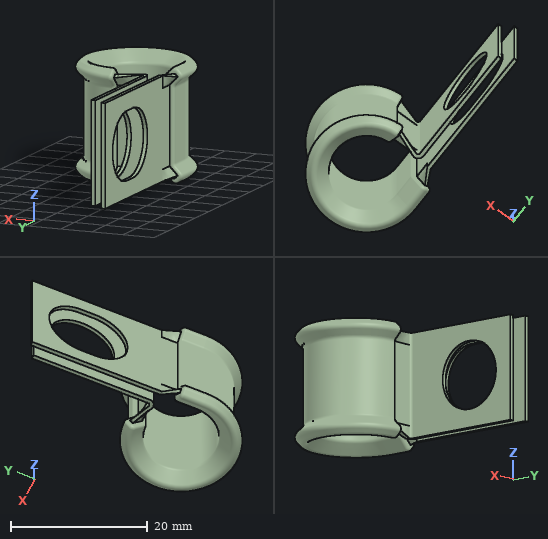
import cadquery as cq
import math


cushion_radius = 9.015
cushion_half_height = 8.77
bore_radius = 5.55
wall = 2.22
rim_rounding = 0.75
end_rounding = 0.5
straight_length = 3.84
ring_sweep = 270

strip_thickness = 0.65
strip_half_width = 7.95
fold_half_width = 6.1
fold_angle = 45
long_tab_fold_length = 2.52
bend_radius = 0.38

long_tab_end = 27.355
short_tab_end = 26.2
short_tab_outer_x = -4.9
hole_y = 18.27
hole_diameter = 10.3
slot_width = 10.5
slot_length = 12.7

DIAGONAL = math.sqrt(0.5)

barrel_radius = bore_radius + wall
strip_inner = bore_radius + (wall - strip_thickness) / 2
strip_outer = strip_inner + strip_thickness
bend_outer_radius = bend_radius + strip_thickness
bend_x = short_tab_outer_x + bend_outer_radius
bend_y = strip_inner + bend_outer_radius


def symmetric_outline(upper):
    """Complete a list of (radius, z) points with its mirror image below z = 0."""
    return upper + [(r, -z) for r, z in reversed(upper)]


def cushion_section():
    """Cross-section at +X: a wall of even thickness with rims flared outward at 45 degrees."""
    tip_centre_gap = (wall - 2 * rim_rounding) * DIAGONAL
    outer_tip_r = cushion_radius - rim_rounding + rim_rounding / DIAGONAL
    outer_tip_z = cushion_half_height - rim_rounding - tip_centre_gap
    inner_tip_r = outer_tip_r - wall * DIAGONAL
    inner_tip_z = outer_tip_z + wall * DIAGONAL
    outline = symmetric_outline([
        (barrel_radius, outer_tip_z - (outer_tip_r - barrel_radius)),
        (outer_tip_r, outer_tip_z),
        (inner_tip_r, inner_tip_z),
        (bore_radius, inner_tip_z - (inner_tip_r - bore_radius)),
    ])
    return cq.Sketch().polygon(outline + outline[:1]).vertices().fillet(rim_rounding)


def make_cushion():
    section = cq.Workplane("XZ").placeSketch(cushion_section())
    ring = section.revolve(ring_sweep, (0, 0), (0, 1))
    ring = ring.faces("|X").edges().fillet(end_rounding)
    straight = section.extrude(straight_length)
    straight = straight.faces("<Y").edges().fillet(end_rounding)
    return ring.union(straight).rotate((0, 0, 0), (0, 0, 1), 180)


def strip_outline(angle):
    """Strip cross-section with its edges folded outward by the given angle in degrees."""
    edge_length = strip_half_width - fold_half_width
    sine = math.sin(math.radians(angle))
    cosine = math.cos(math.radians(angle))
    edge_r = strip_outer + edge_length * sine
    edge_z = fold_half_width + edge_length * cosine
    inner_fold_z = fold_half_width + strip_thickness * math.tan(math.radians(fold_angle / 2))
    return symmetric_outline([
        (strip_outer, fold_half_width),
        (edge_r, edge_z),
        (edge_r - strip_thickness * cosine, edge_z + strip_thickness * sine),
        (strip_inner, inner_fold_z),
    ])


def strip_exit(length):
    """Strip leaving the section at +X toward +Y, its edges unfolding from flared to flat."""
    flared = strip_outline(fold_angle)
    flat = strip_outline(0)
    unfolding = (
        cq.Workplane("XZ").polyline(flared).close()
        .workplane(offset=-length).polyline(flat).close()
        .loft(ruled=True)
    )
    root = cq.Workplane("XZ").polyline(flared).close().extrude(end_rounding)
    return unfolding.union(root)


def make_long_tab():
    fold_end = straight_length + long_tab_fold_length
    tab = cq.Workplane("XY").box(
        strip_thickness, long_tab_end - fold_end, 2 * strip_half_width, centered=(False, False, True)
    ).translate((-strip_outer, fold_end, 0))
    slot = (
        cq.Workplane("YZ").center(hole_y, 0)
        .slot2D(slot_length, slot_width).extrude(-cushion_radius)
    )
    edge_folds = strip_exit(long_tab_fold_length).mirror("YZ").translate((0, straight_length, 0))
    return tab.cut(slot).union(edge_folds)


def make_short_tab():
    inner_x = short_tab_outer_x + strip_thickness
    tab = (
        cq.Workplane("XY")
        .moveTo(bend_x, strip_inner)
        .threePointArc(
            (bend_x - bend_outer_radius * DIAGONAL, bend_y - bend_outer_radius * DIAGONAL),
            (short_tab_outer_x, bend_y),
        )
        .lineTo(short_tab_outer_x, short_tab_end)
        .lineTo(inner_x, short_tab_end)
        .lineTo(inner_x, bend_y)
        .threePointArc(
            (bend_x - bend_radius * DIAGONAL, bend_y - bend_radius * DIAGONAL),
            (bend_x, strip_outer),
        )
        .close()
        .extrude(strip_half_width, both=True)
    )
    hole = (
        cq.Workplane("YZ").center(hole_y, 0)
        .circle(hole_diameter / 2).extrude(-cushion_radius)
    )
    edge_folds = strip_exit(-bend_x).rotate((0, 0, 0), (0, 0, 1), 90)
    return tab.cut(hole).union(edge_folds)


result = make_cushion().union(make_long_tab()).union(make_short_tab())